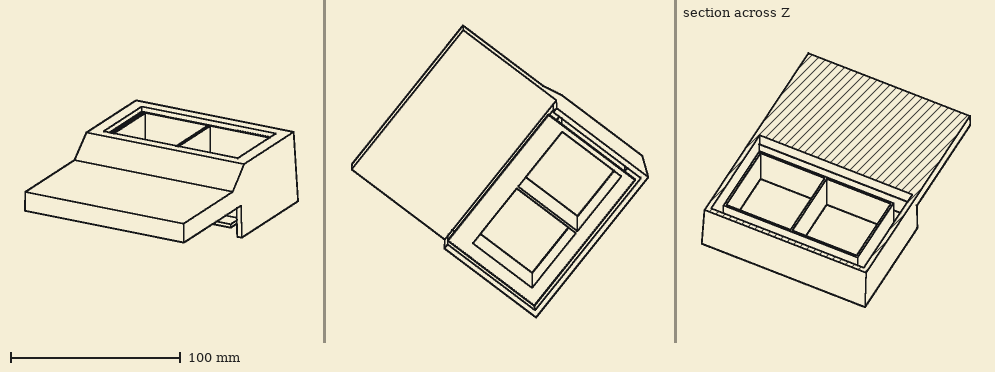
import cadquery as cq
import math

length = 138.0
height = 45.0
foot_width = 108.0
top_width = 106.4
back_lean = 3.9
leg_front_y = 69.5
shelf_bottom_z = 20.3
shelf_top_z = 32.3
slope_toe_y = 59.8
slope_head_y = 73.8
wall = 3.2
window_width = 90.5
window_front_y = 80.6
window_back_y = 126.7

bin_left_x = -43.7
bin_right_x = 45.1
bin_wall = 1.5
cell_front_y = 81.7
cell_back_y = 125.9
plate_left_x = -50.1
plate_right_x = 46.8
plate_front_y = 69.1
plate_bottom_z = 5.1
plate_thickness = 2.2

roof_z = height - wall
bin_front_y = cell_front_y - bin_wall
bin_back_y = cell_back_y + bin_wall
plate_back_y = bin_back_y + (bin_left_x - plate_left_x)


def box_between(x0, x1, y0, y1, z0, z1):
    """Box given by its limits along each axis."""
    return cq.Workplane("XY").box(x1 - x0, y1 - y0, z1 - z0, centered=False).translate((x0, y0, z0))


def drafted_body(side_profile, inset):
    """Extrude a YZ profile across X and trim it to the drafted side faces, moved in by inset."""
    slab = cq.Workplane("YZ").polyline(side_profile).close().extrude(foot_width / 2, both=True)
    half_foot = foot_width / 2 - inset
    half_top = top_width / 2 - inset
    side_draft = (
        cq.Workplane("XZ")
        .polyline([(-half_foot, 0), (half_foot, 0), (half_top, height), (-half_top, height)])
        .close()
        .extrude(-length)
    )
    return slab.intersect(side_draft)


def make_housing():
    outer_profile = [
        (0, shelf_bottom_z),
        (leg_front_y, shelf_bottom_z),
        (leg_front_y, 0),
        (length, 0),
        (length - back_lean, height),
        (slope_head_y, height),
        (slope_toe_y, shelf_top_z),
        (0, shelf_top_z),
    ]

    slope = (height - shelf_top_z) / (slope_head_y - slope_toe_y)
    slope_drop = wall * math.hypot(1, slope)
    roof_front_y = slope_head_y + (slope_drop - wall) / slope
    cavity_front_z = height - slope_drop - slope * (slope_head_y - leg_front_y)
    cavity_profile = [
        (leg_front_y, 0),
        (length - wall, 0),
        (length - wall - back_lean * roof_z / height, roof_z),
        (roof_front_y, roof_z),
        (leg_front_y, cavity_front_z),
    ]

    window = box_between(
        -window_width / 2, window_width / 2, window_front_y, window_back_y, 0, height
    )
    return drafted_body(outer_profile, 0).cut(drafted_body(cavity_profile, wall)).cut(window)


def make_insert():
    plate = box_between(
        plate_left_x, plate_right_x, plate_front_y, plate_back_y,
        plate_bottom_z, plate_bottom_z + plate_thickness,
    )
    bin_block = box_between(
        bin_left_x, bin_right_x, bin_front_y, bin_back_y, plate_bottom_z, roof_z
    )
    insert = plate.union(bin_block)

    cell_width = (bin_right_x - bin_left_x - 3 * bin_wall) / 2
    for index in range(2):
        cell_left_x = bin_left_x + bin_wall + index * (cell_width + bin_wall)
        cell = box_between(
            cell_left_x, cell_left_x + cell_width, cell_front_y, cell_back_y, plate_bottom_z, roof_z
        )
        insert = insert.cut(cell)
    return insert


housing = make_housing()
insert = make_insert()
result = cq.Compound.makeCompound([housing.val(), insert.val()])